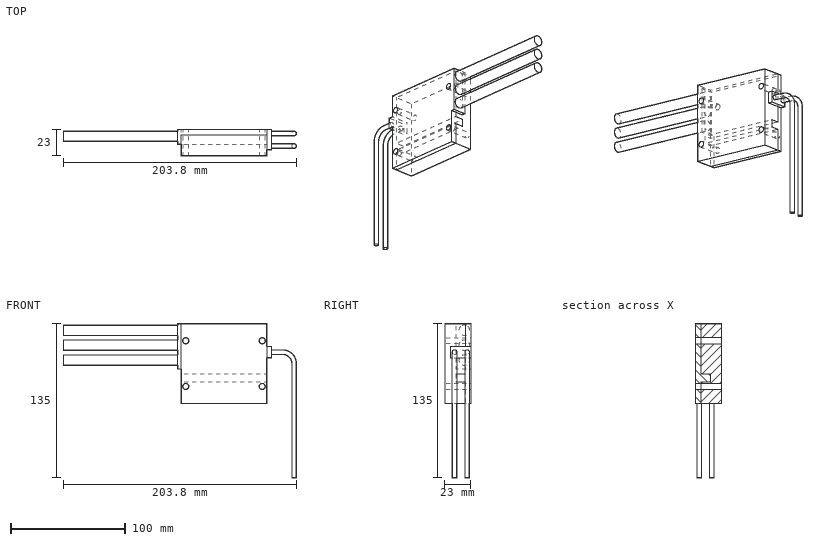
import cadquery as cq

case_width = 75.0
case_depth = 23.0
case_height = 70.1
cover_thickness = 4.9

hole_diameter = 5.0
hole_inset_x = 4.0
hole_inset_z = 15.0

flange_thickness = 3.0
flange_depth = 13.0
flange_height = 40.0

tongue_top = -44.2
tongue_height = 6.7

cable_count = 3
cable_diameter = 9.2
cable_length = 99.9
cable_pitch = 13.0
cable_inset_y = 6.0
first_cable_z = -6.0

lead_block_thickness = 4.0
lead_block_depth = 18.0
lead_block_height = 10.0

lead_diameter = 4.0
lead_pitch = 11.0
lead_drop = 99.9
lead_bend_radius = 10.0
total_length = 203.8
total_height = 135.0

seam_y = case_depth - cover_thickness
flange_front_y = case_depth - flange_depth
cable_y = case_depth - cable_inset_y
lead_z = -(total_height - lead_drop - lead_bend_radius)
lead_start_x = case_width + lead_block_thickness
lead_axis_x = total_length - cable_length - flange_thickness - lead_diameter / 2
lead_bend_x = lead_axis_x - lead_bend_radius
lead_block_center_y = case_depth - lead_block_depth / 2


def block(x, y, z_top, width, depth, height):
    """Box with its left, front, top corner at (x, y, z_top)."""
    corner = (x, y, z_top - height)
    return cq.Workplane("XY").box(width, depth, height, centered=False).translate(corner)


def mounting_holes():
    """Four drills running through the whole depth of the case."""
    return (
        cq.Workplane("XZ", origin=(case_width / 2, 0, -case_height / 2))
        .rect(case_width - 2 * hole_inset_x, case_height - 2 * hole_inset_z, forConstruction=True)
        .vertices()
        .circle(hole_diameter / 2)
        .extrude(-case_depth)
    )


def tongue():
    """Rib on the cover that fills a groove along the full width of the housing."""
    return block(0, flange_front_y, tongue_top, case_width, seam_y - flange_front_y, tongue_height)


def cable(z):
    """Straight cable running in -X from the flange."""
    return (
        cq.Workplane("YZ", origin=(-flange_thickness, cable_y, z))
        .circle(cable_diameter / 2)
        .extrude(-cable_length)
    )


def lead(y):
    """Wire leaving the lead block in +X and bending down to -Z."""
    path = (
        cq.Workplane("XZ", origin=(0, y, 0))
        .moveTo(lead_start_x, lead_z)
        .lineTo(lead_bend_x, lead_z)
        .tangentArcPoint((lead_axis_x, lead_z - lead_bend_radius), relative=False)
        .lineTo(lead_axis_x, -total_height)
    )
    return cq.Workplane("YZ", origin=(lead_start_x, y, lead_z)).circle(lead_diameter / 2).sweep(path)


def make_housing():
    """Front block with the groove for the cover tongue."""
    body = block(0, 0, 0, case_width, seam_y, case_height)
    return body.cut(tongue()).cut(mounting_holes())


def make_cover():
    """Back plate with its tongue, cable flange, lead block, cables and leads."""
    plate = block(0, seam_y, 0, case_width, cover_thickness, case_height)
    flange = block(-flange_thickness, flange_front_y, 0, flange_thickness, flange_depth, flange_height)
    lead_block = block(
        case_width,
        case_depth - lead_block_depth,
        lead_z + lead_block_height / 2,
        lead_block_thickness,
        lead_block_depth,
        lead_block_height,
    )
    body = plate.union(tongue()).cut(mounting_holes()).union(flange).union(lead_block)
    for i in range(cable_count):
        body = body.union(cable(first_cable_z - i * cable_pitch))
    for side in (-1, 1):
        body = body.union(lead(lead_block_center_y + side * lead_pitch / 2))
    return body


housing = make_housing()
cover = make_cover()

result = cq.Compound.makeCompound([*housing.solids().vals(), *cover.solids().vals()])